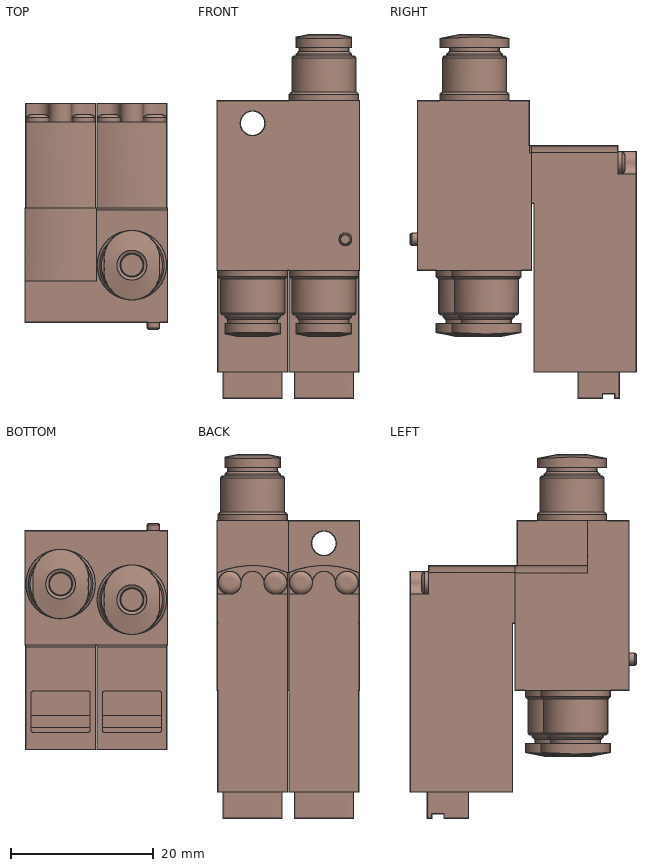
import cadquery as cq
import math


STATION_PITCH = 10.0
STATIONS_X = (-STATION_PITCH / 2, STATION_PITCH / 2)
DECK_CROWN_Z = 17.5
DECK_RADIUS = 12.5

BLOCK_WIDTH = 2 * STATION_PITCH
BLOCK_DEPTH = 16.0
BLOCK_HEIGHT = 23.75
FRONT_WALL = 5.8
TOWER_DEPTH = 15.7
MOUNT_HOLE_DIA = 3.4
MOUNT_HOLE_Z = 20.6

VALVE_WIDTH = 9.8
VALVE_BACK = 30.7
VALVE_BOTTOM = -14.3
RELIEF_DEPTH = 0.3
RELIEF_Z = 9.4
RECESS_DEPTH = 2.6
RECESS_FLOOR_Z = 13.45
SCREW_OFFSET = 3.2
LOBE_RADIUS = SCREW_OFFSET / 2
HEAD_RADIUS = LOBE_RADIUS
HEAD_RIM = 0.6
HEAD_HEIGHT = 1.0
HEAD_FLAT_DIA = 1.35
DOME_BULGE = 0.1

PLUG_WIDTH = 8.3
PLUG_DEPTH = 5.8
PLUG_HEIGHT = 3.65
PLUG_BACK_INSET = 2.4
PLUG_CORNER = 0.35
KEY_WIDTH = 1.7
KEY_HEIGHT = 0.6
KEY_INSET = 0.65

FLANGE_DIA = 9.75
FLANGE_HEIGHT = 0.85
BARREL_DIA = 9.0
BARREL_TOP = 5.95
SHOULDER_DIA = 8.55
SHOULDER_TOP = 6.25
BEAD_DIA = 7.8
BEAD_TOP = 6.55
NECK_DIA = 7.0
COLLAR_BOTTOM = 7.45
COLLAR_LENGTH = FLANGE_DIA
COLLAR_WIDTH = 7.8
COLLAR_RIM = 8.7
FITTING_HEIGHT = 9.3
MOUTH_DIA = 4.2
ENTRY_DIA = 3.3
MOUTH_DEPTH = 0.2
ENTRY_DEPTH = 1.0
BORE_DIA = 3.1
TOP_FITTING_Y = 8.0
BOTTOM_FITTINGS_Y = (7.5, 9.7)

PIN_DIA = 1.8
PIN_TIP_DIA = 1.35
PIN_LENGTH = 1.0
PIN_X = 8.0
PIN_Z = 4.35


def arched_prism(x_middle, width, y_front, y_back, z_flat):
    """Solid from the arched deck line to the level z_flat, along Y."""
    left = x_middle - width / 2
    right = x_middle + width / 2
    edge_z = DECK_CROWN_Z - DECK_RADIUS + math.sqrt(DECK_RADIUS**2 - (width / 2) ** 2)
    return (
        cq.Workplane("XZ", origin=(0, y_front, 0))
        .moveTo(left, z_flat)
        .lineTo(left, edge_z)
        .threePointArc((x_middle, DECK_CROWN_Z), (right, edge_z))
        .lineTo(right, z_flat)
        .close()
        .extrude(-(y_back - y_front))
    )


def make_manifold():
    block = cq.Workplane("XY").box(
        BLOCK_WIDTH, BLOCK_DEPTH, BLOCK_HEIGHT, centered=(True, False, False)
    )
    for x_station, y_front in zip(STATIONS_X, (FRONT_WALL, TOWER_DEPTH)):
        block = block.cut(
            arched_prism(x_station, STATION_PITCH, y_front, BLOCK_DEPTH, BLOCK_HEIGHT)
        )
    mount_hole = (
        cq.Workplane("XZ")
        .center(STATIONS_X[0], MOUNT_HOLE_Z)
        .circle(MOUNT_HOLE_DIA / 2)
        .extrude(-FRONT_WALL)
    )
    return block.cut(mount_hole)


def screw_recess(x_middle):
    """Open recess whose floor forms two round screw pockets and a lobe between."""
    half_width = VALVE_WIDTH / 2
    axis_z = RECESS_FLOOR_Z + LOBE_RADIUS
    diagonal = LOBE_RADIUS * math.sqrt(0.5)
    return (
        cq.Workplane("XZ", origin=(x_middle, VALVE_BACK - RECESS_DEPTH, 0))
        .moveTo(-half_width, DECK_CROWN_Z)
        .lineTo(-half_width, RECESS_FLOOR_Z)
        .lineTo(-SCREW_OFFSET, RECESS_FLOOR_Z)
        .threePointArc((diagonal - SCREW_OFFSET, axis_z - diagonal), (-LOBE_RADIUS, axis_z))
        .threePointArc((0, axis_z + LOBE_RADIUS), (LOBE_RADIUS, axis_z))
        .threePointArc((SCREW_OFFSET - diagonal, axis_z - diagonal), (SCREW_OFFSET, RECESS_FLOOR_Z))
        .lineTo(half_width, RECESS_FLOOR_Z)
        .lineTo(half_width, DECK_CROWN_Z)
        .close()
        .extrude(-RECESS_DEPTH)
    )


def screw_head(x_axis):
    """Domed screw head standing on the recess wall, pointing to the back."""
    flat_radius = HEAD_FLAT_DIA / 2
    dome_middle = (
        (HEAD_RADIUS + flat_radius) / 2 + DOME_BULGE,
        (HEAD_RIM + HEAD_HEIGHT) / 2 + DOME_BULGE,
    )
    head = (
        cq.Workplane("XY")
        .lineTo(HEAD_RADIUS, 0)
        .lineTo(HEAD_RADIUS, HEAD_RIM)
        .threePointArc(dome_middle, (flat_radius, HEAD_HEIGHT))
        .lineTo(0, HEAD_HEIGHT)
        .close()
        .revolve(360, (0, 0, 0), (0, 1, 0))
    )
    return head.translate((x_axis, VALVE_BACK - RECESS_DEPTH, RECESS_FLOOR_Z + HEAD_RADIUS))


def connector(x_middle):
    plug_back = VALVE_BACK - PLUG_BACK_INSET
    plug_bottom = VALVE_BOTTOM - PLUG_HEIGHT
    plug = (
        cq.Workplane("XY")
        .box(PLUG_WIDTH, PLUG_DEPTH, PLUG_HEIGHT, centered=(True, False, False))
        .edges("|Z")
        .fillet(PLUG_CORNER)
        .translate((x_middle, plug_back - PLUG_DEPTH, plug_bottom))
    )
    key_slot = (
        cq.Workplane("XY")
        .box(PLUG_WIDTH, KEY_WIDTH, KEY_HEIGHT, centered=(True, False, False))
        .translate((x_middle, plug_back - KEY_INSET - KEY_WIDTH, plug_bottom))
    )
    return plug.cut(key_slot)


def make_valve(x_middle):
    valve = arched_prism(x_middle, VALVE_WIDTH, BLOCK_DEPTH, VALVE_BACK, VALVE_BOTTOM)
    relief = (
        cq.Workplane("XY")
        .box(VALVE_WIDTH, RELIEF_DEPTH, RELIEF_Z - VALVE_BOTTOM, centered=(True, False, False))
        .translate((x_middle, BLOCK_DEPTH, VALVE_BOTTOM))
    )
    valve = valve.cut(relief).cut(screw_recess(x_middle))
    for side in (-1, 1):
        valve = valve.union(screw_head(x_middle + side * SCREW_OFFSET))
    return valve.union(connector(x_middle))


def make_fitting():
    """Fitting with its flange on Z = 0 and its tube mouth pointing up."""
    chamfer = (FLANGE_DIA - BARREL_DIA) / 2
    neck_bottom = BEAD_TOP + (BEAD_DIA - NECK_DIA) / 2
    body = (
        cq.Workplane("XZ")
        .lineTo(FLANGE_DIA / 2, 0)
        .lineTo(FLANGE_DIA / 2, FLANGE_HEIGHT)
        .lineTo(BARREL_DIA / 2, FLANGE_HEIGHT + chamfer)
        .lineTo(BARREL_DIA / 2, BARREL_TOP)
        .lineTo(SHOULDER_DIA / 2, SHOULDER_TOP)
        .lineTo(BEAD_DIA / 2, SHOULDER_TOP)
        .lineTo(BEAD_DIA / 2, BEAD_TOP)
        .lineTo(NECK_DIA / 2, neck_bottom)
        .lineTo(NECK_DIA / 2, COLLAR_BOTTOM)
        .lineTo(0, COLLAR_BOTTOM)
        .close()
        .revolve(360, (0, 0, 0), (0, 1, 0))
    )
    collar_cone = (
        cq.Workplane("XZ")
        .moveTo(0, COLLAR_BOTTOM)
        .lineTo(COLLAR_LENGTH / 2, COLLAR_BOTTOM)
        .lineTo(COLLAR_LENGTH / 2, COLLAR_RIM)
        .lineTo(MOUTH_DIA / 2, FITTING_HEIGHT)
        .lineTo(0, FITTING_HEIGHT)
        .close()
        .revolve(360, (0, 0, 0), (0, 1, 0))
    )
    collar = (
        cq.Workplane("XY", origin=(0, 0, COLLAR_BOTTOM))
        .slot2D(COLLAR_LENGTH, COLLAR_WIDTH, 90)
        .extrude(FITTING_HEIGHT - COLLAR_BOTTOM)
        .intersect(collar_cone)
    )
    tube_bore = (
        cq.Workplane("XZ")
        .lineTo(BORE_DIA / 2, 0)
        .lineTo(BORE_DIA / 2, FITTING_HEIGHT - ENTRY_DEPTH)
        .lineTo(ENTRY_DIA / 2, FITTING_HEIGHT - ENTRY_DEPTH)
        .lineTo(ENTRY_DIA / 2, FITTING_HEIGHT - MOUTH_DEPTH)
        .lineTo(MOUTH_DIA / 2, FITTING_HEIGHT)
        .lineTo(0, FITTING_HEIGHT)
        .close()
        .revolve(360, (0, 0, 0), (0, 1, 0))
    )
    return body.union(collar).cut(tube_bore)


def make_pin():
    return (
        cq.Workplane("XZ", origin=(PIN_X, 0, PIN_Z))
        .circle(PIN_DIA / 2)
        .extrude(PIN_LENGTH)
        .faces("<Y")
        .chamfer((PIN_DIA - PIN_TIP_DIA) / 2)
    )


manifold = make_manifold()
valves = [make_valve(x_station) for x_station in STATIONS_X]
top_fitting = make_fitting().translate((STATIONS_X[1], TOP_FITTING_Y, BLOCK_HEIGHT))
bottom_fittings = [
    make_fitting().rotate((0, 0, 0), (1, 0, 0), 180).translate((x_station, y_station, 0))
    for x_station, y_station in zip(STATIONS_X, BOTTOM_FITTINGS_Y)
]
pin = make_pin()

bodies = [manifold, *valves, top_fitting, *bottom_fittings, pin]
result = cq.Compound.makeCompound([body.val() for body in bodies])